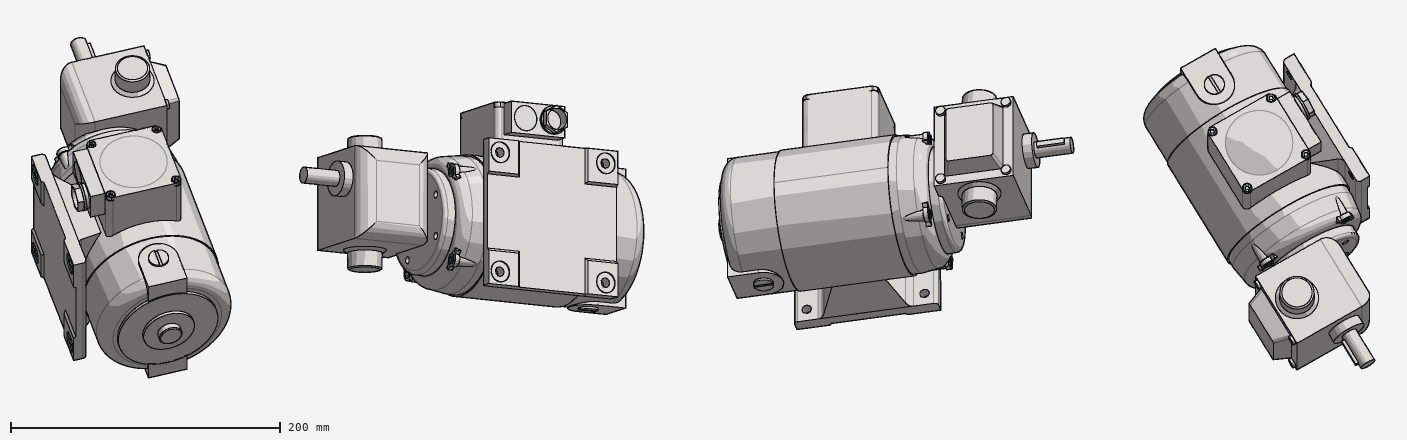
import cadquery as cq
import math


stator_radius = 52.9
stator_start = -42.8
stator_end = 44.2
shield_rim_radius = 51.7
shield_rim_start = -49.0
shield_shoulder_radius = 49.8
shield_face = -70.6
shield_round = 9.0
flange_radius = 40.0
flange_face = -80.0
flange_round = 3.0
fan_cover_radius = 52.0
fan_cover_end = 87.6
fan_cover_round = 10.0
end_disc_radius = 38.6
end_disc_face = 89.9
hub_radius = 19.7
hub_face = 92.3
stub_radius = 8.8
stub_chamfer = 0.8
motor_end = 97.4

ear_circle_radius = 46.7
ear_radius = 5.8
ear_face = -69.8
ear_back = -66.1
ear_bar_length = 18.0
ear_bar_width = 3.0
ear_boss_radius = 4.7
ear_screw_radius = 3.8
ear_screw_height = 0.6
ear_socket_size = 4.4
ear_socket_depth = 2.0

flange_hole_circle_radius = 31.2
flange_hole_radius = 2.6
flange_hole_depth = 5.0
flange_socket_radius = 1.5
flange_socket_depth = 2.0
flange_hole_angles = (-30, 30, 120)

foot_size = 110.0
foot_back = -52.5
foot_face = -62.8
foot_edge_round = 3.0
foot_hole_spacing = 90.0
foot_hole_diameter = 7.0
foot_spotface_diameter = 15.6
foot_spotface_depth = 1.0
pad_size = 25.2
pad_height = 1.8
pad_slope = 1.8
web_length = 66.0
web_height = 30.0
web_draft = 30.5
web_root_round = 6.0

box_width = 58.0
box_top = 90.3
box_corner_radius = 4.3
dome_radius = 25.0
dome_height = 3.7
box_screw_offset = 25.4
box_screw_pocket_radius = 3.5
box_screw_radius = 2.9
box_screw_depth = 3.8
box_socket_size = 3.4
box_socket_depth = 2.0
gland_block_length = 45.4
gland_block_height = 23.7
gland_block_depth = 11.0
gland_z = 77.6
gland_x = 11.2
knockout_x = -10.6
knockout_radius = 9.5
knockout_depth = 0.2
gland_neck_radius = 9.5
gland_neck_length = 2.7
gland_collar_radius = 10.6
gland_collar_length = 1.6
gland_nut_across_corners = 20.7
gland_nut_length = 4.6
gland_bore_radius = 8.0

bracket_center_x = 65.1
bracket_end = 89.0
bracket_half_width = 15.0
bracket_top = 52.5
bracket_screw_radius = 7.5
bracket_screw_height = 1.6
screw_slot_width = 2.0
screw_slot_depth = 1.0

gear_start = -137.7
gear_end = -77.3
gear_bottom = -19.5
gear_top = 50.5
gear_front = -18.9
gear_back = 49.0
gear_round = 12.0
cover_length = 44.6
cover_height = 55.4
cover_depth = 13.0
cover_draft = 18.9
cover_corner_round = 2.0
cover_screw_spacing_x = 50.0
cover_screw_spacing_z = 60.0
cover_screw_radius = 3.6
cover_screw_height = 2.2
plug_y = 31.1
plug_radius = 13.0
plug_top_radius = 12.7
plug_foot_radius = 16.0
plug_foot_height = 2.2
plug_height = 14.7
plug_chamfer = 1.5
plug_chamfer_height = 0.8
shaft_y = 8.5
shaft_z = 27.6
shaft_radius = 6.0
shaft_tip = -172.6
collar_radius = 13.0
collar_face = -145.0
key_width = 4.2
key_start = -168.4
key_end = -147.7
key_height = 2.0

gear_center_x = (gear_start + gear_end) / 2
gear_center_z = (gear_bottom + gear_top) / 2


def box_between(x_range, y_range, z_range):
    """Box spanning the three given (low, high) ranges."""
    size = [high - low for low, high in (x_range, y_range, z_range)]
    return cq.Workplane("XY").box(*size, centered=False).translate((x_range[0], y_range[0], z_range[0]))


def x_plane(x, y=0.0, z=0.0):
    """Workplane facing +X, with its horizontal along +Y and its vertical along +Z."""
    return cq.Workplane(cq.Plane(origin=(x, y, z), xDir=(0, 1, 0), normal=(1, 0, 0)))


def minus_y_plane(x, y, z):
    """Workplane facing -Y, with its horizontal along +X and its vertical along +Z."""
    return cq.Workplane(cq.Plane(origin=(x, y, z), xDir=(1, 0, 0), normal=(0, -1, 0)))


def plus_y_plane(x, y, z):
    """Workplane facing +Y, with its vertical along +Z."""
    return cq.Workplane(cq.Plane(origin=(x, y, z), xDir=(-1, 0, 0), normal=(0, 1, 0)))


def round_middle(center_x, center_r, radius, degrees):
    """Point on a rounding arc, at an angle from +X toward larger radius."""
    angle = math.radians(degrees)
    return (center_x + radius * math.cos(angle), center_r + radius * math.sin(angle))



def make_housing():
    """Turned housing: flange, drive-end shield, stator, fan cover and end discs."""
    flange_mid = round_middle(flange_face + flange_round, flange_radius - flange_round, flange_round, 135)
    shoulder_x = shield_face + shield_round
    shield_mid = round_middle(shoulder_x, shield_shoulder_radius - shield_round, shield_round, 135)
    cover_x = fan_cover_end - fan_cover_round
    cover_mid = round_middle(cover_x, fan_cover_radius - fan_cover_round, fan_cover_round, 45)
    profile = (
        cq.Workplane("XY")
        .moveTo(flange_face, 0)
        .lineTo(flange_face, flange_radius - flange_round)
        .threePointArc(flange_mid, (flange_face + flange_round, flange_radius))
        .lineTo(shield_face, flange_radius)
        .lineTo(shield_face, shield_shoulder_radius - shield_round)
        .threePointArc(shield_mid, (shoulder_x, shield_shoulder_radius))
        .lineTo(shield_rim_start, shield_rim_radius)
        .lineTo(stator_start, shield_rim_radius)
        .lineTo(stator_start, stator_radius)
        .lineTo(stator_end, stator_radius)
        .lineTo(stator_end, fan_cover_radius)
        .lineTo(cover_x, fan_cover_radius)
        .threePointArc(cover_mid, (fan_cover_end, fan_cover_radius - fan_cover_round))
        .lineTo(fan_cover_end, end_disc_radius)
        .lineTo(end_disc_face, end_disc_radius)
        .lineTo(end_disc_face, hub_radius)
        .lineTo(hub_face, hub_radius)
        .lineTo(hub_face, stub_radius)
        .lineTo(motor_end - stub_chamfer, stub_radius)
        .lineTo(motor_end, stub_radius - stub_chamfer)
        .lineTo(motor_end, 0)
        .close()
    )
    return profile.revolve(360, (0, 0, 0), (1, 0, 0))


def make_shield_ear():
    """Screw ear of the drive-end shield, built on the +Y side of the motor axis."""
    thickness = ear_back - ear_face
    plate = x_plane(ear_face, ear_circle_radius).circle(ear_radius).extrude(thickness)
    bar = x_plane(ear_face, ear_circle_radius).rect(ear_bar_width, ear_bar_length).extrude(thickness)
    boss = x_plane(ear_back, ear_circle_radius).circle(ear_boss_radius).extrude(shield_rim_start - ear_back)
    head_face = ear_face - ear_screw_height
    head = x_plane(head_face, ear_circle_radius).circle(ear_screw_radius).extrude(ear_screw_height)
    socket = x_plane(head_face, ear_circle_radius).polygon(6, ear_socket_size).extrude(ear_socket_depth)
    return plate.union(bar).union(boss).union(head).cut(socket)


def make_flange_holes():
    """Blind holes in the flange face, each with a smaller socket in its floor."""
    points = []
    for degrees in flange_hole_angles:
        angle = math.radians(degrees)
        hole_y = -flange_hole_circle_radius * math.cos(angle)
        hole_z = -flange_hole_circle_radius * math.sin(angle)
        points.append((hole_y, hole_z))
    holes = x_plane(flange_face).pushPoints(points)
    sockets = holes.circle(flange_socket_radius).extrude(flange_hole_depth + flange_socket_depth)
    return holes.circle(flange_hole_radius).extrude(flange_hole_depth).union(sockets)


def make_foot():
    """Square mounting plate on a drafted web, with a raised pad around each corner hole."""
    half = foot_size / 2
    plate = box_between((-half, half), (foot_face, foot_back), (-half, half))
    plate = plate.edges("|Z and >Y").fillet(foot_edge_round)
    web = plus_y_plane(0, foot_back, 0).rect(web_length, foot_size).extrude(web_height, taper=web_draft)
    foot = plate.union(web)
    reach = web_length / 2 + 1
    root_edges = cq.selectors.BoxSelector((-reach, foot_back - 0.1, -1), (reach, foot_back + 0.1, 1))
    foot = foot.edges(root_edges).fillet(web_root_round)

    floor = foot_face + pad_height
    inner = half - pad_size - pad_slope
    outer = half - pad_size
    channel_outline = [(-outer, foot_face), (-inner, floor), (inner, floor), (outer, foot_face)]
    channel_z = cq.Workplane("XY").polyline(channel_outline).close().extrude(half, both=True)
    channel_x = channel_z.rotate((0, 0, 0), (0, 1, 0), 90)
    foot = foot.cut(channel_z).cut(channel_x)

    face_plane = minus_y_plane(0, foot_face, 0)
    holes = face_plane.rect(foot_hole_spacing, foot_hole_spacing, forConstruction=True).vertices()
    bores = holes.circle(foot_hole_diameter / 2).extrude(foot_face - foot_back)
    spotfaces = holes.circle(foot_spotface_diameter / 2).extrude(-foot_spotface_depth)
    return foot.cut(bores).cut(spotfaces)


def make_dome():
    """Shallow spherical dome on the terminal box lid."""
    sphere_radius = (dome_radius**2 + dome_height**2) / (2 * dome_height)
    sphere = cq.Workplane("XY").sphere(sphere_radius).translate((0, 0, box_top + dome_height - sphere_radius))
    cap_zone = cq.Workplane("XY").workplane(offset=box_top).circle(dome_radius + 1).extrude(dome_height + 1)
    return sphere.intersect(cap_zone)


def make_terminal_box():
    """Terminal box with domed lid and a screw sunk into each lid corner."""
    body = cq.Workplane("XY").rect(box_width, box_width).extrude(box_top)
    body = body.edges("|Z").fillet(box_corner_radius)
    floor = cq.Workplane("XY").workplane(offset=box_top - box_screw_depth)
    corners = floor.rect(2 * box_screw_offset, 2 * box_screw_offset, forConstruction=True).vertices()
    pockets = corners.circle(box_screw_pocket_radius).extrude(box_screw_depth)
    heads = corners.circle(box_screw_radius).extrude(box_screw_depth)
    socket_floor = floor.workplane(offset=box_screw_depth - box_socket_depth)
    sockets = (
        socket_floor.rect(2 * box_screw_offset, 2 * box_screw_offset, forConstruction=True)
        .vertices()
        .polygon(6, box_socket_size)
        .extrude(box_socket_depth)
    )
    return body.cut(pockets).union(heads).cut(sockets).union(make_dome())


def make_cable_entry():
    """Cable entry block on the -Y side of the terminal box, with a knockout and a bored gland."""
    wall = -box_width / 2
    block_face = wall - gland_block_depth
    block = minus_y_plane(0, wall, gland_z).rect(gland_block_length, gland_block_height)
    block = block.extrude(gland_block_depth)
    knockout = minus_y_plane(knockout_x, block_face, gland_z).circle(knockout_radius).extrude(-knockout_depth)
    neck = minus_y_plane(gland_x, block_face, gland_z).circle(gland_neck_radius).extrude(gland_neck_length)
    collar_y = block_face - gland_neck_length
    collar = minus_y_plane(gland_x, collar_y, gland_z).circle(gland_collar_radius)
    collar = collar.extrude(gland_collar_length)
    nut_y = collar_y - gland_collar_length
    nut = minus_y_plane(0, nut_y, 0).polygon(6, gland_nut_across_corners).extrude(gland_nut_length)
    nut = nut.rotate((0, 0, 0), (0, 1, 0), 90).translate((gland_x, 0, gland_z))
    gland_length = gland_neck_length + gland_collar_length + gland_nut_length
    bore = minus_y_plane(gland_x, block_face, gland_z).circle(gland_bore_radius).extrude(gland_length)
    return block.cut(knockout).union(neck).union(collar).union(nut).cut(bore)


def make_bracket_pad():
    """Round-ended pad running through the fan cover, with a slotted screw on its +Z and -Z ends."""
    center = cq.Workplane("XY").center(bracket_center_x, 0)
    rounded_end = center.circle(bracket_half_width).extrude(bracket_top, both=True)
    straight = box_between(
        (bracket_center_x, bracket_end),
        (-bracket_half_width, bracket_half_width),
        (-bracket_top, bracket_top),
    )
    screw_top = bracket_top + bracket_screw_height
    screws = center.circle(bracket_screw_radius).extrude(screw_top, both=True)
    pad = rounded_end.union(straight).union(screws)
    for side in (-1, 1):
        slot = cq.Workplane("XY").box(2 * bracket_screw_radius, screw_slot_width, 2 * screw_slot_depth)
        pad = pad.cut(slot.translate((bracket_center_x, 0, side * screw_top)))
    return pad



def make_gear_case():
    """Rectangular case with its four -Y edges rounded."""
    case = box_between((gear_start, gear_end), (gear_front, gear_back), (gear_bottom, gear_top))
    return case.faces("<Y").edges().fillet(gear_round)


def make_gear_cover():
    """Drafted cover on the +Y side, with a screw head at each corner of the case."""
    base = plus_y_plane(gear_center_x, gear_back, gear_center_z)
    cover = base.rect(cover_length, cover_height).extrude(cover_depth, taper=cover_draft)
    cover = cover.edges("not #Y").fillet(cover_corner_round)
    corners = base.rect(cover_screw_spacing_x, cover_screw_spacing_z, forConstruction=True).vertices()
    return cover.union(corners.circle(cover_screw_radius).extrude(cover_screw_height))


def make_plug():
    """Tapered round plug with a flared foot and a chamfered top, standing on Z = 0."""
    profile = (
        cq.Workplane("XZ")
        .lineTo(plug_foot_radius, 0)
        .lineTo(plug_radius, plug_foot_height)
        .lineTo(plug_top_radius, plug_height - plug_chamfer_height)
        .lineTo(plug_top_radius - plug_chamfer, plug_height)
        .lineTo(0, plug_height)
        .close()
    )
    return profile.revolve(360, (0, 0, 0), (0, 1, 0))


def make_output_shaft():
    """Keyed output shaft with its collar."""
    collar = x_plane(collar_face, shaft_y, shaft_z).circle(collar_radius).extrude(gear_start - collar_face)
    shaft = x_plane(shaft_tip, shaft_y, shaft_z).circle(shaft_radius).extrude(gear_start - shaft_tip)
    key = box_between(
        (key_start, key_end),
        (shaft_y, shaft_y + shaft_radius + key_height),
        (shaft_z - key_width / 2, shaft_z + key_width / 2),
    )
    return collar.union(shaft).union(key)


def make_gearbox():
    """Case with cover, output shaft and a plug on the top and bottom."""
    top_plug = make_plug().translate((gear_center_x, plug_y, gear_top))
    bottom_plug = make_plug().rotate((0, 0, 0), (1, 0, 0), 180)
    bottom_plug = bottom_plug.translate((gear_center_x, plug_y, gear_bottom))
    gearbox = make_gear_case().union(make_gear_cover()).union(make_output_shaft())
    return gearbox.union(top_plug).union(bottom_plug)


def make_motor():
    """Complete motor; its flange face is recessed where the gearbox case seats."""
    motor = make_housing().union(make_foot()).union(make_terminal_box())
    motor = motor.union(make_cable_entry()).union(make_bracket_pad())
    for quarter in range(4):
        motor = motor.union(make_shield_ear().rotate((0, 0, 0), (1, 0, 0), 45 + 90 * quarter))
    return motor.cut(make_flange_holes()).cut(make_gear_case())


motor = make_motor()
gearbox = make_gearbox()
result = cq.Compound.makeCompound([motor.val(), gearbox.val()])